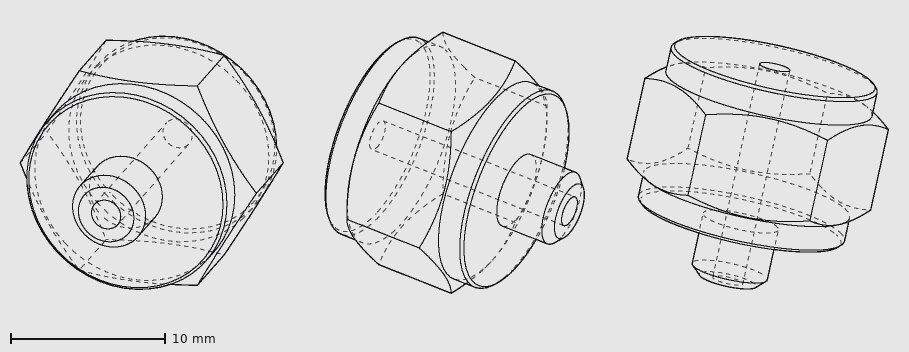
import cadquery as cq
import math

across_flats = 14.0
across_corners = across_flats / math.cos(math.radians(30))
hex_length = 6.9
hex_bevel_angle = 30.0

collar_diameter = 13.7
collar_length = 1.8
collar_chamfer = 0.2

stub_diameter = 5.0
stub_length = 4.0
stub_chamfer = 0.6

bore_diameter = 2.0

stub_tip = 0.0
front_face = stub_tip + stub_length
hex_front = front_face + collar_length
hex_back = hex_front + hex_length
back_face = hex_back + collar_length


def along_y(start):
    """Workplane at Y = start whose extrusions run toward +Y."""
    return cq.Workplane("XZ", origin=(0, start, 0)).transformed(rotate=(180, 0, 0))


def make_hexagon():
    """Hexagon with corners on X, its ends beveled by cones starting at the collars."""
    prism = along_y(hex_front).polygon(6, across_corners).extrude(hex_length)
    collar_radius = collar_diameter / 2
    corner_radius = across_corners / 2
    bevel_depth = (corner_radius - collar_radius) * math.tan(math.radians(hex_bevel_angle))
    envelope = (
        cq.Workplane("XY")
        .moveTo(0, hex_front)
        .lineTo(collar_radius, hex_front)
        .lineTo(corner_radius, hex_front + bevel_depth)
        .lineTo(corner_radius, hex_back - bevel_depth)
        .lineTo(collar_radius, hex_back)
        .lineTo(0, hex_back)
        .close()
        .revolve(360, (0, 0, 0), (0, 1, 0))
    )
    return prism.intersect(envelope)


def make_collars():
    """Cylinder running through the hexagon, chamfered at both ends."""
    return (
        along_y(front_face)
        .circle(collar_diameter / 2)
        .extrude(back_face - front_face)
        .edges("%CIRCLE")
        .chamfer(collar_chamfer)
    )


def make_stub():
    """Stub with a chamfered tip."""
    return (
        along_y(stub_tip)
        .circle(stub_diameter / 2)
        .extrude(stub_length)
        .faces("<Y")
        .chamfer(stub_chamfer)
    )


def make_bore():
    """Hole through the full length of the part."""
    return along_y(stub_tip).circle(bore_diameter / 2).extrude(back_face - stub_tip)


result = make_hexagon().union(make_collars()).union(make_stub()).cut(make_bore())